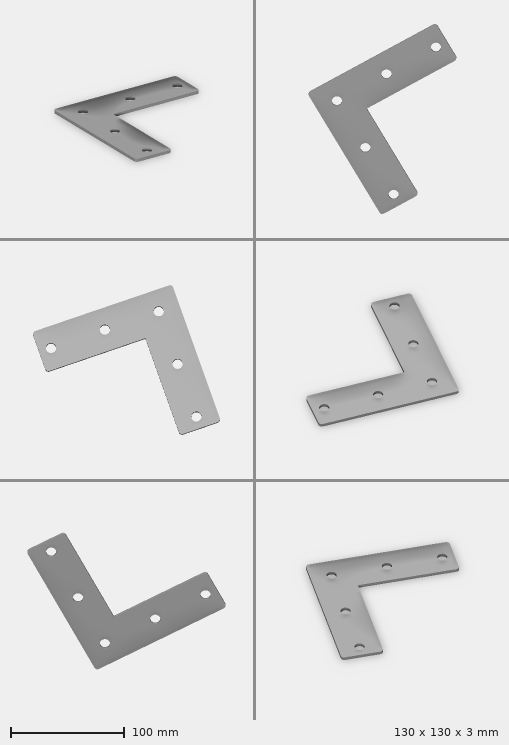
import cadquery as cq

leg_length = 130.0
leg_width = 38.0
thickness = 3.0
corner_radius = 3.0
hole_diameter = 9.0
hole_spacing = 50.0
holes_per_leg = 3


def leg(length_x, length_y):
    """Rectangular plate with its outer corner at the origin."""
    return cq.Workplane("XY").box(length_x, length_y, thickness, centered=False)


def hole_centers():
    """Holes along the centerline of each leg, starting from the elbow."""
    elbow = leg_width / 2
    centers = [(elbow, elbow)]
    for step in range(1, holes_per_leg):
        along_leg = elbow + step * hole_spacing
        centers.append((along_leg, elbow))
        centers.append((elbow, along_leg))
    return centers


plate = leg(leg_length, leg_width).union(leg(leg_width, leg_length))

inside_corner = cq.NearestToPointSelector((leg_width, leg_width, thickness / 2))
outer_corners = cq.selectors.StringSyntaxSelector("|Z") - inside_corner
plate = plate.edges(outer_corners).fillet(corner_radius)

result = plate.faces(">Z").workplane(origin=(0, 0, thickness)).pushPoints(hole_centers()).hole(hole_diameter)